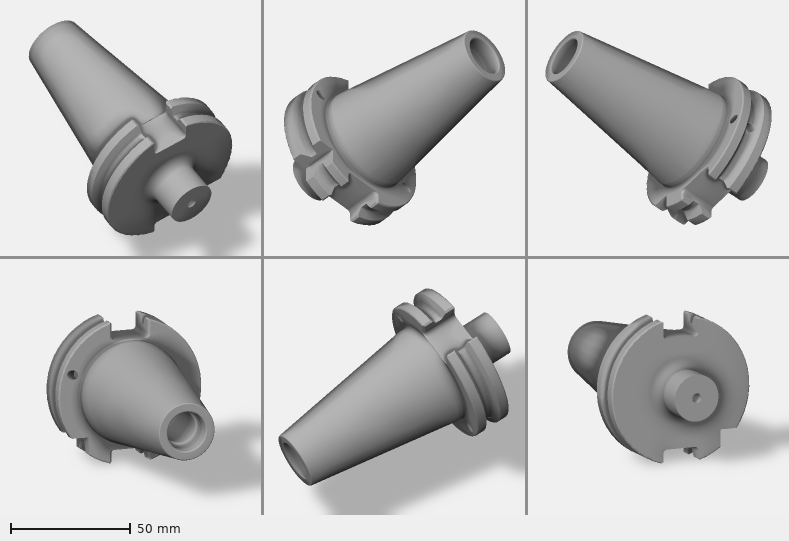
import cadquery as cq
import math

total_length = 103.2
gauge_x = 68.2
flange_start = 71.5
flange_end = 87.3
groove_x = 79.3

taper_ratio = 7 / 24
gauge_radius = 22.3
nose_radius = gauge_radius - gauge_x * taper_ratio / 2
nose_rounding = 0.6
collar_fillet = 0.6
spigot_radius = 10.0
spigot_fillet = 4.0

flange_radius = 63.5 / 2
flange_rounding = 0.6
groove_floor_radius = 28.1
groove_half_mouth = 3.6
groove_flank_angle = math.radians(30)
groove_corner_radius = 0.7

mouth_rounding = 0.7
pilot_radius = 8.5
pilot_depth = 7.0
relief_radius = 8.3
relief_start = 7.7
relief_end = 8.5
thread_radius = 7.0
thread_start = 9.6
thread_end = 32.0
drill_half_angle = math.radians(59)
through_radius = 2.1

slot_half_width = 8.1
slot_corner_radius = 1.8
upper_slot_floor = 22.5
lower_slot_floor = 24.7
slot_chamfer = 0.9
slot_front_chamfer = 0.8
slot_rim_height = 30.5
slot_rim_drop = 0.5
notch_offset = 18.3

coolant_diameter = 4.0
coolant_entry_radius = 27.2
coolant_angle = 20.0
coolant_tilt = math.radians(36)


def rounded_corner(profile, corner, arriving, leaving, radius):
    """Draw up to a square corner and round it; the two directions are unit vectors."""
    start = tuple(c - radius * a for c, a in zip(corner, arriving))
    end = tuple(c + radius * b for c, b in zip(corner, leaving))
    inset = radius * (1 - math.sqrt(0.5))
    middle = tuple(c + inset * (b - a) for c, a, b in zip(corner, arriving, leaving))
    return profile.lineTo(*start).threePointArc(middle, end)


def revolve_about_x(profile):
    return profile.close().revolve(360, (0, 0, 0), (1, 0, 0))


def half_turn(shape):
    """The shape turned half a revolution about the tool axis."""
    return shape.rotate((0, 0, 0), (1, 0, 0), 180)


def make_body():
    """Taper, collar, flange and spigot as one solid of revolution."""
    ahead, outward, inward = (1, 0), (0, 1), (0, -1)
    rounded_radius = nose_radius + nose_rounding * taper_ratio / 2
    profile = cq.Workplane("XZ").lineTo(0, nose_radius - nose_rounding)
    profile = profile.radiusArc((nose_rounding, rounded_radius), nose_rounding)
    profile = profile.lineTo(gauge_x, gauge_radius)
    profile = rounded_corner(profile, (flange_start, gauge_radius), ahead, outward, collar_fillet)
    profile = rounded_corner(profile, (flange_start, flange_radius), outward, ahead, flange_rounding)
    profile = rounded_corner(profile, (flange_end, flange_radius), ahead, inward, flange_rounding)
    profile = rounded_corner(profile, (flange_end, spigot_radius), inward, ahead, spigot_fillet)
    profile = profile.lineTo(total_length, spigot_radius).lineTo(total_length, 0)
    return revolve_about_x(profile)


def make_groove():
    """V-groove round the flange, with rounded corners beside its flat floor."""
    flank_run = (flange_radius - groove_floor_radius) * math.tan(groove_flank_angle)
    half_floor = groove_half_mouth - flank_run
    corner_turn = math.pi / 2 - groove_flank_angle
    tangent = groove_corner_radius * math.tan(corner_turn / 2)
    floor_end = half_floor - tangent
    flank_x = half_floor + tangent * math.sin(groove_flank_angle)
    flank_radius = groove_floor_radius + tangent * math.cos(groove_flank_angle)
    profile = (
        cq.Workplane("XZ")
        .moveTo(groove_x - groove_half_mouth, flange_radius)
        .lineTo(groove_x - flank_x, flank_radius)
        .radiusArc((groove_x - floor_end, groove_floor_radius), -groove_corner_radius)
        .lineTo(groove_x + floor_end, groove_floor_radius)
        .radiusArc((groove_x + flank_x, flank_radius), -groove_corner_radius)
        .lineTo(groove_x + groove_half_mouth, flange_radius)
    )
    return revolve_about_x(profile)


def make_bore():
    """Rounded mouth, pilot, relief, tapped-hole core with drill point, and through hole."""
    point_length = (thread_radius - through_radius) / math.tan(drill_half_angle)
    profile = (
        cq.Workplane("XZ")
        .lineTo(0, pilot_radius + mouth_rounding)
        .radiusArc((mouth_rounding, pilot_radius), -mouth_rounding)
        .lineTo(pilot_depth, pilot_radius)
        .lineTo(relief_start, relief_radius)
        .lineTo(relief_end, relief_radius)
        .lineTo(thread_start, thread_radius)
        .lineTo(thread_end, thread_radius)
        .lineTo(thread_end + point_length, through_radius)
        .lineTo(total_length, through_radius)
        .lineTo(total_length, 0)
    )
    return revolve_about_x(profile)


def slot_outline(plane, half_width, floor):
    """Slot outline, open towards +Z, with rounded floor corners."""
    right, up, down = (1, 0), (0, 1), (0, -1)
    outline = plane.moveTo(half_width, flange_radius).lineTo(-half_width, flange_radius)
    outline = rounded_corner(outline, (-half_width, floor), down, right, slot_corner_radius)
    outline = rounded_corner(outline, (half_width, floor), right, up, slot_corner_radius)
    return outline.close()


def make_drive_slot(floor):
    """Slot across the top of the flange, widened at its front face and at the rim."""
    wide_half = slot_half_width + slot_chamfer
    length = flange_end - flange_start
    front = cq.Workplane("YZ", origin=(flange_start, 0, 0))
    slot = slot_outline(front, slot_half_width, floor).extrude(length)

    front_flare = slot_outline(front, wide_half, floor).workplane(offset=slot_front_chamfer)
    front_flare = slot_outline(front_flare, slot_half_width, floor).loft(ruled=True)

    rim_flare = (
        front.moveTo(-wide_half, flange_radius)
        .lineTo(-wide_half, slot_rim_height)
        .lineTo(-slot_half_width, slot_rim_height - slot_rim_drop)
        .lineTo(slot_half_width, slot_rim_height - slot_rim_drop)
        .lineTo(wide_half, slot_rim_height)
        .lineTo(wide_half, flange_radius)
        .close()
        .extrude(length)
    )
    return slot.union(front_flare).union(rim_flare)


def make_notch():
    """Square orientation notch through the flange on its +Y, -Z side."""
    size = flange_radius - notch_offset
    length = flange_end - flange_start
    corner = (flange_start, notch_offset, -flange_radius)
    return cq.Workplane("XY").box(length, size, size, centered=False).translate(corner)


def make_coolant_passages():
    """Two inclined holes from the flange face, joined by a cross hole through the axis.

    The cross hole is drilled from the groove floor on one side only.
    """
    radius = coolant_diameter / 2
    axial_run = groove_x - flange_start
    meeting_radius = coolant_entry_radius - axial_run * math.tan(coolant_tilt)
    lead = coolant_diameter
    length = lead + axial_run / math.cos(coolant_tilt)
    direction = cq.Vector(math.cos(coolant_tilt), -math.sin(coolant_tilt), 0)
    start = cq.Vector(flange_start, coolant_entry_radius, 0) - direction * lead
    inclined = cq.Workplane(cq.Solid.makeCylinder(radius, length, start, direction))
    cross = cq.Workplane(
        cq.Solid.makeCylinder(
            radius, meeting_radius + flange_radius,
            cq.Vector(groove_x, -flange_radius, 0), cq.Vector(0, 1, 0),
        )
    )
    passages = inclined.union(half_turn(inclined)).union(cross)
    return passages.rotate((0, 0, 0), (1, 0, 0), coolant_angle)


cutters = [
    make_groove(),
    make_bore(),
    make_drive_slot(upper_slot_floor),
    half_turn(make_drive_slot(lower_slot_floor)),
    make_notch(),
    make_coolant_passages(),
]

result = make_body()
for cutter in cutters:
    result = result.cut(cutter)